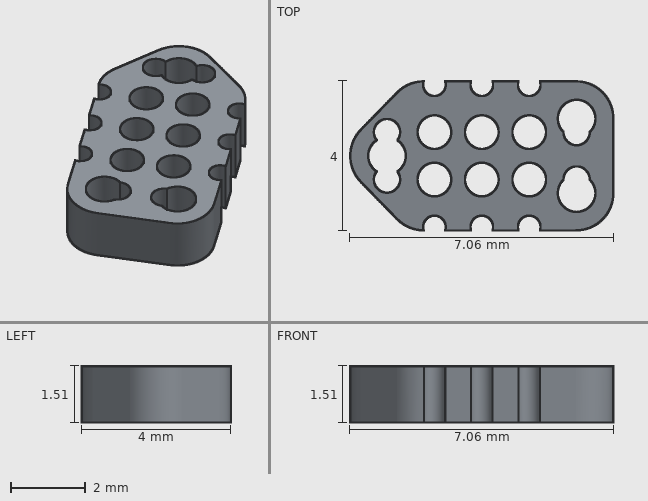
import cadquery as cq
import math

length = 7.06
width = 4.0
thickness = 1.51
corner_radius = 1.0
front_corner_x = -1.55

pitch = 1.27
row_y = pitch / 2
columns = [-pitch, 0, pitch]
hole_diameter = 0.9

notch_y = row_y + pitch
notch_diameter = 0.6

keyhole_x = 2 * pitch
large_diameter = 1.0
small_diameter = 0.7
corner_y = width / 2 - corner_radius


def outline():
    """Plate with a rounded nose at -X and rounded corners, all of one radius."""
    r = corner_radius
    half_x = length / 2
    half_y = width / 2
    nose_x = r - half_x
    rear_x = half_x - r
    slope = math.atan2(corner_y, front_corner_x - nose_x)

    def on_arc(center_x, center_y, angle):
        return (center_x + r * math.cos(angle), center_y + r * math.sin(angle))

    def mirrored(point):
        return (point[0], -point[1])

    slope_normal = slope + math.pi / 2
    nose_end = on_arc(nose_x, 0, slope_normal)
    corner_start = on_arc(front_corner_x, corner_y, slope_normal)
    corner_middle = on_arc(front_corner_x, corner_y, (slope_normal + math.pi / 2) / 2)
    corner_end = (front_corner_x, half_y)
    rear_middle = on_arc(rear_x, corner_y, math.pi / 4)

    return (
        cq.Workplane("XY")
        .moveTo(*nose_end)
        .lineTo(*corner_start)
        .threePointArc(corner_middle, corner_end)
        .lineTo(rear_x, half_y)
        .threePointArc(rear_middle, (half_x, corner_y))
        .lineTo(half_x, -corner_y)
        .threePointArc(mirrored(rear_middle), (rear_x, -half_y))
        .lineTo(*mirrored(corner_end))
        .threePointArc(mirrored(corner_middle), mirrored(corner_start))
        .lineTo(*mirrored(nose_end))
        .threePointArc((-half_x, 0), nose_end)
        .close()
    )


def bores(centers, diameter):
    """Cylinders through the full thickness."""
    return cq.Workplane("XY").pushPoints(centers).circle(diameter / 2).extrude(thickness)


grid_centers = [(x, y) for x in columns for y in (-row_y, row_y)]
notch_centers = [(x, y) for x in columns for y in (-notch_y, notch_y)]
large_centers = [(-keyhole_x, 0), (keyhole_x, -corner_y), (keyhole_x, corner_y)]
small_centers = [(x, y) for x in (-keyhole_x, keyhole_x) for y in (-row_y, row_y)]

result = (
    outline()
    .extrude(thickness)
    .cut(bores(grid_centers, hole_diameter))
    .cut(bores(notch_centers, notch_diameter))
    .cut(bores(large_centers, large_diameter))
    .cut(bores(small_centers, small_diameter))
)